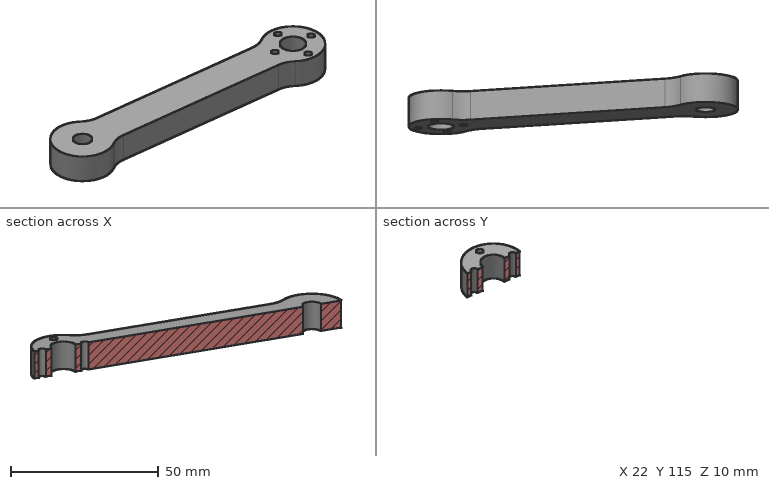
import cadquery as cq
import math

length = 115.0
thickness = 10.0
end_diameter = 22.0
arm_width = 14.0
blend_radius = 10.0

hub_bore = 9.0
pivot_bore = 6.5
screw_hole = 2.5
screw_circle_diameter = 16.0
screw_count = 4

end_radius = end_diameter / 2
end_offset = length / 2 - end_radius
hub_center = (0, end_offset)
pivot_center = (0, -end_offset)

blend_x = arm_width / 2 + blend_radius
blend_distance = end_radius + blend_radius
blend_rise = math.sqrt(blend_distance**2 - blend_x**2)
blend_y = end_offset - blend_rise


def link_outline():
    """Arm with two round ends, blended by tangent arcs."""
    side_x = arm_width / 2
    touch_x = blend_x * end_radius / blend_distance
    touch_y = end_offset - blend_rise * end_radius / blend_distance
    half_angle = math.atan2(blend_rise, blend_x) / 2
    mid_x = blend_x - blend_radius * math.cos(half_angle)
    mid_y = blend_y + blend_radius * math.sin(half_angle)
    return (
        cq.Workplane("XY")
        .moveTo(side_x, -blend_y)
        .lineTo(side_x, blend_y)
        .threePointArc((mid_x, mid_y), (touch_x, touch_y))
        .threePointArc((0, length / 2), (-touch_x, touch_y))
        .threePointArc((-mid_x, mid_y), (-side_x, blend_y))
        .lineTo(-side_x, -blend_y)
        .threePointArc((-mid_x, -mid_y), (-touch_x, -touch_y))
        .threePointArc((0, -length / 2), (touch_x, -touch_y))
        .threePointArc((mid_x, -mid_y), (side_x, -blend_y))
        .close()
    )


def through_cutter(center, diameter):
    """Cylinder as tall as the link, centred on a hole."""
    return cq.Workplane("XY").center(*center).circle(diameter / 2).extrude(thickness)


link = link_outline().extrude(thickness)
link = link.cut(through_cutter(hub_center, hub_bore))
link = link.cut(through_cutter(pivot_center, pivot_bore))

screw_cutters = (
    cq.Workplane("XY")
    .center(*hub_center)
    .polarArray(screw_circle_diameter / 2, 0, 360, screw_count)
    .circle(screw_hole / 2)
    .extrude(thickness)
)
result = link.cut(screw_cutters)